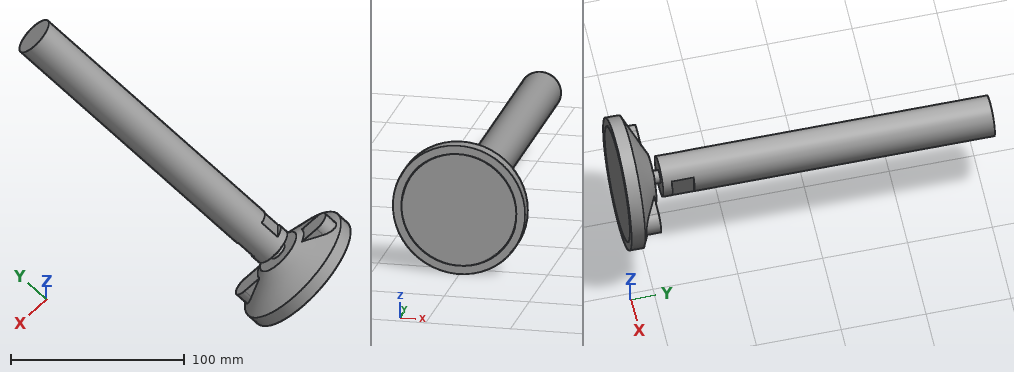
import cadquery as cq

total_length = 220.0

foot_diameter = 78.0
rim_height = 8.0
cone_top_height = 20.0
cone_top_diameter = 29.2

recess_diameter = 68.0
pad_diameter = 67.5
pad_gap_depth = 2.0

lug_top_height = 18.0
lug_width = 14.5
lug_reach = 36.4

neck_diameter = 7.8
collar_diameter = 10.5
collar_height = (collar_diameter - neck_diameter) / 2

spindle_start = 24.6
spindle_diameter = 24.0
flat_start = 30.0
flat_length = 13.0
across_flats = 19.0


def cylinder(diameter, start, end):
    """Cylinder on the Y axis between two heights above the sole."""
    sketch = cq.Workplane("XZ", origin=(0, start, 0)).circle(diameter / 2)
    return sketch.extrude(start - end)


def foot_and_neck():
    """Rim, cone, flared collar and neck, turned about the Y axis."""
    collar_top = cone_top_height + collar_height
    return (
        cq.Workplane("XY")
        .lineTo(foot_diameter / 2, 0)
        .lineTo(foot_diameter / 2, rim_height)
        .lineTo(cone_top_diameter / 2, cone_top_height)
        .lineTo(collar_diameter / 2, cone_top_height)
        .lineTo(neck_diameter / 2, collar_top)
        .lineTo(neck_diameter / 2, spindle_start)
        .lineTo(0, spindle_start)
        .close()
        .revolve(360, (0, 0, 0), (0, 1, 0))
    )


def lugs():
    """Round-ended bar through the cone; its two ends form the lugs."""
    sketch = cq.Workplane("XZ", origin=(0, rim_height, 0)).slot2D(2 * lug_reach, lug_width)
    return sketch.extrude(rim_height - lug_top_height)


def pad_gap():
    """Thin ring of clearance around the sole pad."""
    recess = cylinder(recess_diameter, 0, pad_gap_depth)
    return recess.cut(cylinder(pad_diameter, 0, pad_gap_depth))


def spindle():
    """Round bar with a flat milled on its -X and +X sides."""
    bar = cylinder(spindle_diameter, spindle_start, total_length)
    cutter_depth = spindle_diameter / 2
    cutter_center = across_flats / 2 + cutter_depth / 2
    for side in (-1, 1):
        cutter = cq.Workplane("XY").box(cutter_depth, flat_length, spindle_diameter)
        bar = bar.cut(cutter.translate((side * cutter_center, flat_start + flat_length / 2, 0)))
    return bar


def center_along_y(body):
    """Place the part with the middle of its length at the origin."""
    return body.translate((0, -total_length / 2, 0))


result = center_along_y(foot_and_neck().union(lugs()).cut(pad_gap()).union(spindle()))